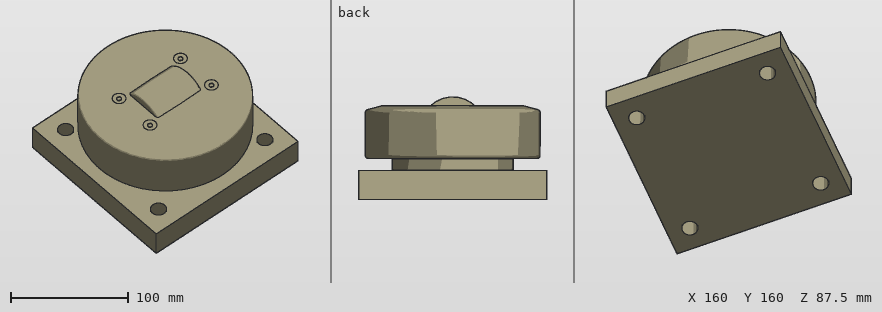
import cadquery as cq
import math

plate_side = 160.0
plate_height = 25.0
mount_hole_diameter = 13.8
mount_hole_spacing = 120.0

neck_diameter = 103.0
neck_core_diameter = 101.5
neck_height = 10.0
neck_end_gap = 0.3

cap_diameter = 149.0
cap_height = 45.0
cap_flat_diameter = 120.0
shoulder_angle = 15.0
upper_fillet = 3.0
lower_fillet = 2.5

key_rise = 7.5
key_width = 37.6
key_length = 50.0
key_crown_drop = 0.3
key_fillet = 2.0

screw_head_diameter = 11.7
screw_head_recess = 0.2
screw_spacing_x = 40.0
screw_spacing_y = 69.3
socket_across_corners = 4.6
socket_depth = 0.8

cap_bottom = plate_height + neck_height
cap_top = cap_bottom + cap_height


def make_plate():
    return (
        cq.Workplane("XY")
        .rect(plate_side, plate_side)
        .extrude(plate_height)
        .faces(">Z")
        .workplane()
        .rect(mount_hole_spacing, mount_hole_spacing, forConstruction=True)
        .vertices()
        .hole(mount_hole_diameter)
    )


def make_neck():
    core = cq.Workplane("XY").workplane(offset=plate_height).circle(neck_core_diameter / 2).extrude(neck_height)
    collar = (
        cq.Workplane("XY")
        .workplane(offset=plate_height + neck_end_gap)
        .circle(neck_diameter / 2)
        .extrude(neck_height - 2 * neck_end_gap)
    )
    return core.union(collar)


def make_cap():
    """Revolve the cap outline, then round both outer rims."""
    outer_radius = cap_diameter / 2
    flat_radius = cap_flat_diameter / 2
    shoulder_drop = (outer_radius - flat_radius) * math.tan(math.radians(shoulder_angle))
    cap = (
        cq.Workplane("XZ")
        .moveTo(0, cap_bottom)
        .lineTo(outer_radius, cap_bottom)
        .lineTo(outer_radius, cap_top - shoulder_drop)
        .lineTo(flat_radius, cap_top)
        .lineTo(0, cap_top)
        .close()
        .revolve(360, (0, 0), (0, 1))
    )
    rim = cq.selectors.RadiusNthSelector(-1)
    lower_rounded = cap.faces("<Z").edges().fillet(lower_fillet)
    return lower_rounded.faces("%CONE").edges(rim).fillet(upper_fillet)


def make_key():
    """Barrel lying along Y, slightly crowned along its length and cut off at the cap top."""
    barrel_radius = ((key_width / 2) ** 2 + key_rise**2) / (2 * key_rise)
    end_radius = barrel_radius - key_crown_drop
    half_length = key_length / 2
    barrel = (
        cq.Workplane("XY")
        .moveTo(0, -half_length)
        .lineTo(end_radius, -half_length)
        .threePointArc((barrel_radius, 0), (end_radius, half_length))
        .lineTo(0, half_length)
        .close()
        .revolve(360, (0, 0), (0, 1))
        .edges("%CIRCLE")
        .edges("<Y or >Y")
        .fillet(key_fillet)
        .translate((0, 0, cap_top + key_rise - barrel_radius))
    )
    keep = (
        cq.Workplane("XY")
        .workplane(offset=cap_top)
        .rect(2 * barrel_radius, 2 * key_length)
        .extrude(2 * key_rise)
    )
    return barrel.intersect(keep)


def make_screw_recesses():
    """Shallow round recess with a hexagonal socket for each screw."""
    positions = (
        cq.Workplane("XY")
        .workplane(offset=cap_top)
        .rect(screw_spacing_x, screw_spacing_y, forConstruction=True)
        .vertices()
    )
    heads = positions.circle(screw_head_diameter / 2).extrude(-screw_head_recess)
    sockets = positions.polygon(6, socket_across_corners).extrude(-socket_depth)
    return heads.union(sockets)


result = make_plate().union(make_neck()).union(make_cap()).union(make_key()).cut(make_screw_recesses())